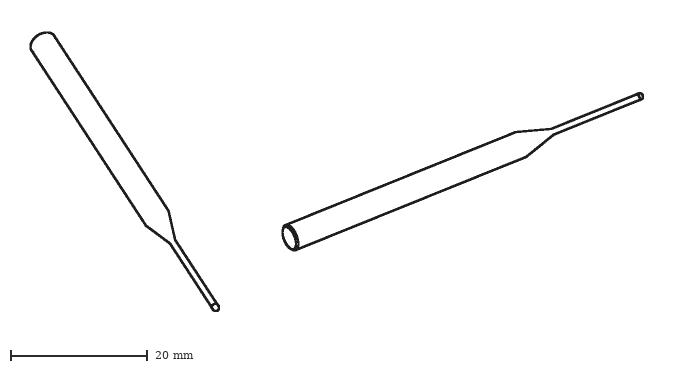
import cadquery as cq
import math

total_length = 63.0
shank_radius = 4.0 / 2
shank_end_chamfer = 0.25
shank_length = 41.25
taper_length = 5.7
neck_radius = 0.47
head_radius = 0.5
head_length = 0.8
step_length = 0.03

neck_start = shank_length + taper_length
head_start = total_length - head_length
ball_centre = total_length - head_radius
ball_mid_offset = head_radius * math.cos(math.pi / 4)

half_section = (
    cq.Workplane("XY")
    .lineTo(0, shank_radius - shank_end_chamfer)
    .lineTo(shank_end_chamfer, shank_radius)
    .lineTo(shank_length, shank_radius)
    .lineTo(neck_start, neck_radius)
    .lineTo(head_start - step_length, neck_radius)
    .lineTo(head_start, head_radius)
    .lineTo(ball_centre, head_radius)
    .threePointArc((ball_centre + ball_mid_offset, ball_mid_offset), (total_length, 0))
    .close()
)

result = half_section.revolve(360, (0, 0, 0), (1, 0, 0))